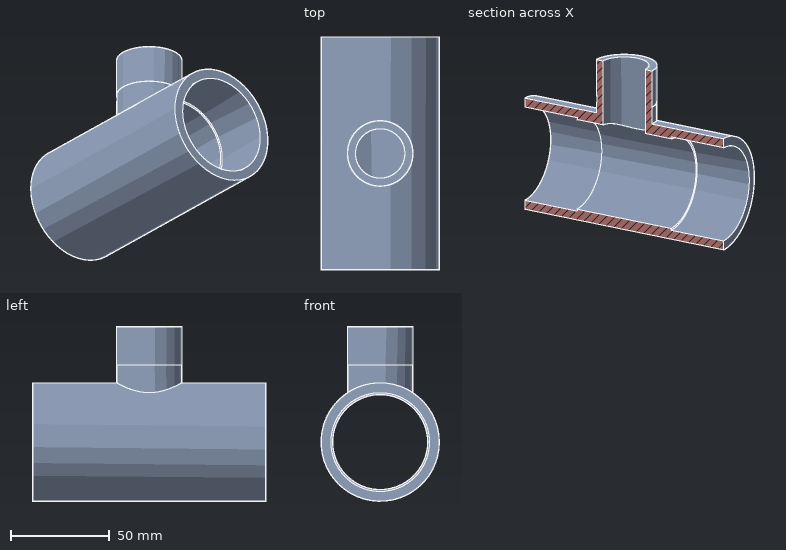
import cadquery as cq

run_length = 118.0
run_outer_diameter = 60.0
run_bore_diameter = 48.0
socket_diameter = 50.0
socket_depth = 31.0

branch_collar_diameter = 33.3
branch_bore_diameter = 25.0
branch_top = 58.5
branch_neck_diameter = 33.0
branch_collar_length = 19.5


def run_cylinder(diameter, length, start):
    """Cylinder on the run axis, going from Y = start toward +Y."""
    return (
        cq.Workplane("XZ", origin=(0, start, 0))
        .circle(diameter / 2)
        .extrude(-length)
    )


def branch_cylinder(diameter, base=0.0):
    """Cylinder on the branch axis, from the height base up to the branch mouth."""
    return (
        cq.Workplane("XY", origin=(0, 0, base))
        .circle(diameter / 2)
        .extrude(branch_top - base)
    )


def tee_body():
    """Solid outer shape of the tee."""
    run = run_cylinder(run_outer_diameter, run_length, -run_length / 2)
    neck = branch_cylinder(branch_neck_diameter)
    collar = branch_cylinder(branch_collar_diameter, branch_top - branch_collar_length)
    return run.union(neck).union(collar)


def tee_passages():
    """Open space inside the tee: run bore, a socket at each end, branch bore."""
    run_bore = run_cylinder(run_bore_diameter, run_length, -run_length / 2)
    front_socket = run_cylinder(socket_diameter, socket_depth, -run_length / 2)
    back_socket = run_cylinder(socket_diameter, socket_depth, run_length / 2 - socket_depth)
    branch_bore = branch_cylinder(branch_bore_diameter)
    return run_bore.union(front_socket).union(back_socket).union(branch_bore)


result = tee_body().cut(tee_passages())